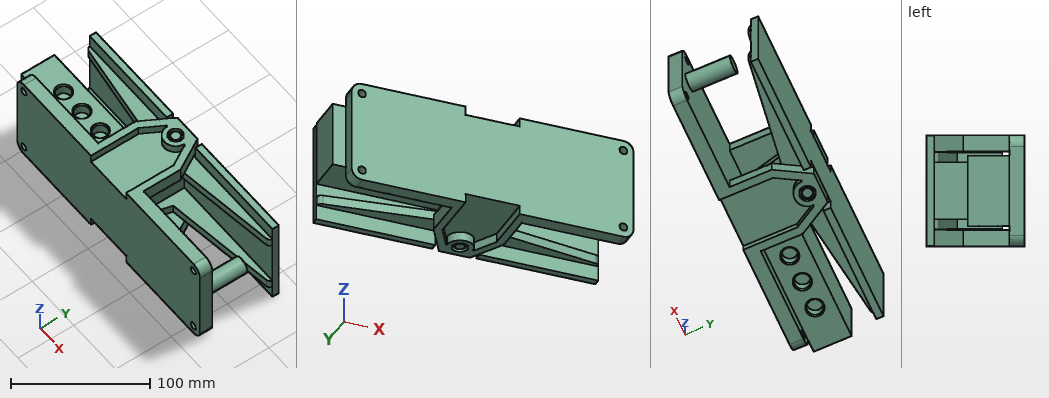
import cadquery as cq
import math

half_length = 110.0
width = 80.0
height = 70.5
pivot_y = 60.0
pin_diameter = 9.0

plate_thickness = 11.0
corner_radius = 8.0
screw_hole_diameter = 6.0

tower_half_width = 27.4
tower_thickness = 12.0
tower_shoulder_y = 44.2
tower_taper_angle = 30
tower_taper = math.tan(math.radians(tower_taper_angle))
tower_inner_z = width / 2 - tower_thickness
tower_top_half_width = tower_half_width - (height - tower_shoulder_y) * tower_taper
recess_depth = 7.0
recess_wall = 6.2
boss_radius = 10.1
pin_counterbore_diameter = 12.0
pin_counterbore_depth = 3.0

box_top = 41.0
box_width = 50.5
box_outer_x = -120.0
box_inner_x = -25.0
socket_diameter = 12.0
socket_rim_diameter = 14.0
socket_rim_angle = 45
socket_depth = 9.2
socket_pitch = 22.0
first_socket_x = -89.0
socket_count = 3

post_diameter = 14.0
post_top = 46.0
post_x = 98.0

tread_thickness = 5.8
tread_width = 78.7
notch_half_width = 17.2
rib_outer_z = 27.5
rib_thickness = 7.1
rib_end_y = 62.0
rib_end_radius = 4.0
lever_half_width = 12.5
web_half_width = 4.1
lever_top_y = 48.5
lever_tip_y = 16.0
pin_end_diameter = 7.5
pin_end_inset = 0.7
tread_bottom = height - tread_thickness
rib_inner_z = rib_outer_z - rib_thickness


def block(x_min, x_max, y_min, y_max, z_min, z_max):
    """Box between the given limits."""
    return cq.Workplane("XY").box(
        x_max - x_min, y_max - y_min, z_max - z_min, centered=False
    ).translate((x_min, y_min, z_min))


def both_sides(shape):
    """The shape together with its mirror image across the middle plane Z = 0."""
    return shape.union(shape.mirror("XY"))


def z_cylinder(diameter, x, y, z_min, z_max):
    """Cylinder along Z."""
    return cq.Workplane("XY", origin=(x, y, z_min)).circle(diameter / 2).extrude(z_max - z_min)


def base_plate():
    """Rounded plate with a screw hole at the centre of each corner arc."""
    hole_span_x = 2 * (half_length - corner_radius)
    hole_span_z = width - 2 * corner_radius
    plate = (
        cq.Workplane("XZ")
        .rect(2 * half_length, width)
        .extrude(-plate_thickness)
        .edges("|Y")
        .fillet(corner_radius)
    )
    holes = (
        cq.Workplane("XZ")
        .rect(hole_span_x, hole_span_z, forConstruction=True)
        .vertices()
        .circle(screw_hole_diameter / 2)
        .extrude(-plate_thickness)
    )
    return plate.cut(holes)


def tower():
    """Tapered tower on the +Z side, standing on the underside level of the plate."""
    return (
        cq.Workplane("XY", origin=(0, 0, tower_inner_z))
        .moveTo(-tower_half_width, 0)
        .lineTo(tower_half_width, 0)
        .lineTo(tower_half_width, tower_shoulder_y)
        .lineTo(tower_top_half_width, height)
        .lineTo(-tower_top_half_width, height)
        .lineTo(-tower_half_width, tower_shoulder_y)
        .close()
        .extrude(tower_thickness)
    )


def tower_recess():
    """Recess in the outer tower face, leaving an even wall and a round boss under the pivot."""
    half_width = tower_half_width - recess_wall
    shoulder_y = tower_shoulder_y - recess_wall * math.tan(math.radians(tower_taper_angle / 2))
    top_half_width = half_width - (pivot_y - shoulder_y) * tower_taper
    return (
        cq.Workplane("XY", origin=(0, 0, width / 2 - recess_depth))
        .moveTo(-half_width, 0)
        .lineTo(half_width, 0)
        .lineTo(half_width, shoulder_y)
        .lineTo(top_half_width, pivot_y)
        .lineTo(boss_radius, pivot_y)
        .threePointArc((0, pivot_y - boss_radius), (-boss_radius, pivot_y))
        .lineTo(-top_half_width, pivot_y)
        .lineTo(-half_width, shoulder_y)
        .close()
        .extrude(recess_depth)
    )


def pivot_bore():
    """Pin hole through the tower with a counterbore from the outer face."""
    counterbore_floor = width / 2 - pin_counterbore_depth
    hole = z_cylinder(pin_diameter, 0, pivot_y, tower_inner_z, width / 2)
    return hole.union(z_cylinder(pin_counterbore_diameter, 0, pivot_y, counterbore_floor, width / 2))


def socket_box():
    """Box on the plate with a row of countersunk sockets in each side."""
    half_width = box_width / 2
    box = block(box_outer_x, box_inner_x, plate_thickness, box_top, -half_width, half_width)
    socket_y = (plate_thickness + box_top) / 2
    rim_depth = (socket_rim_diameter - socket_diameter) / 2 / math.tan(math.radians(socket_rim_angle))
    for index in range(socket_count):
        x = first_socket_x + index * socket_pitch
        socket = z_cylinder(socket_diameter, x, socket_y, half_width - socket_depth, half_width)
        rim = (
            cq.Workplane("XY", origin=(x, socket_y, half_width))
            .circle(socket_rim_diameter / 2)
            .extrude(-rim_depth, taper=socket_rim_angle)
        )
        box = box.cut(both_sides(socket.union(rim)))
    return box


def stop_post():
    """Round post standing on the plate near the +X end."""
    return (
        cq.Workplane("XZ", origin=(post_x, plate_thickness, 0))
        .circle(post_diameter / 2)
        .extrude(plate_thickness - post_top)
    )


def make_base():
    """Base plate with its towers, socket box and stop post."""
    base = base_plate().union(both_sides(tower()))
    base = base.cut(both_sides(tower_recess())).cut(both_sides(pivot_bore()))
    return base.union(socket_box()).union(stop_post())


def tread():
    """Flat top of the rocker, notched around each tower."""
    plate = block(-half_length, half_length, tread_bottom, height, -tread_width / 2, tread_width / 2)
    notch = block(-notch_half_width, notch_half_width, tread_bottom, height, rib_outer_z, width / 2)
    return plate.cut(both_sides(notch))


def rib():
    """Tapered rib under the tread on the +Z side, with a lever reaching down at the middle."""
    margin = 0.2
    end_edges = cq.selectors.BoxSelector(
        (-half_length - margin, rib_end_y - margin, 0),
        (half_length + margin, rib_end_y + margin, width),
    )
    return (
        cq.Workplane("XY", origin=(0, 0, rib_inner_z))
        .moveTo(-half_length, height)
        .lineTo(-half_length, rib_end_y)
        .lineTo(-lever_half_width, lever_top_y)
        .lineTo(-web_half_width, lever_tip_y)
        .lineTo(web_half_width, lever_tip_y)
        .lineTo(lever_half_width, lever_top_y)
        .lineTo(half_length, rib_end_y)
        .lineTo(half_length, height)
        .close()
        .extrude(rib_thickness)
        .edges(end_edges)
        .fillet(rib_end_radius)
    )


def pivot_pin():
    """Pin on the +Z side, with a chamfered end that stands in the tower counterbore."""
    pin_end = width / 2 - pin_end_inset
    pin = z_cylinder(pin_diameter, 0, pivot_y, rib_outer_z, pin_end)
    return pin.faces(">Z").chamfer((pin_diameter - pin_end_diameter) / 2)


def make_rocker():
    """Tread, two ribs joined by a central web, and two pivot pins."""
    web = block(-web_half_width, web_half_width, lever_tip_y, height, -rib_inner_z, rib_inner_z)
    return tread().union(both_sides(rib())).union(web).union(both_sides(pivot_pin()))


base = make_base()
rocker = make_rocker()
result = cq.Compound.makeCompound([base.val(), rocker.val()])